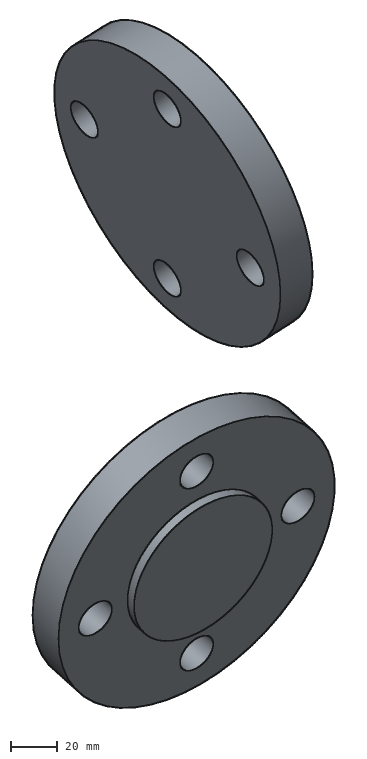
import cadquery as cq

flange_diameter = 150.0
total_thickness = 22.5
raised_face_height = 4.5
raised_face_diameter = flange_diameter / 2
plate_thickness = total_thickness - raised_face_height

bolt_count = 4
bolt_circle_diameter = 110.0
bolt_hole_diameter = 18.0


def disc(diameter, start_y, thickness):
    """Solid disc about the Y axis, growing toward +Y from start_y."""
    return cq.Workplane("XZ", origin=(0, start_y, 0)).circle(diameter / 2).extrude(-thickness)


def bolt_holes():
    """Cutters that pass through the full plate thickness."""
    return (
        cq.Workplane("XZ")
        .polarArray(bolt_circle_diameter / 2, 0, 360, bolt_count)
        .circle(bolt_hole_diameter / 2)
        .extrude(-plate_thickness)
    )


plate = disc(flange_diameter, 0, plate_thickness)
raised_face = disc(raised_face_diameter, plate_thickness, raised_face_height)
result = plate.union(raised_face).cut(bolt_holes())